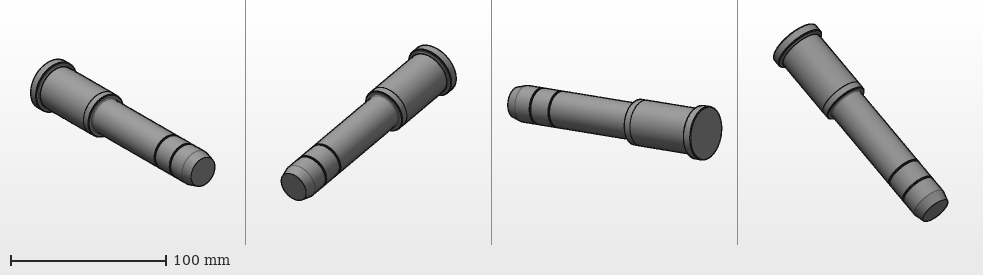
import cadquery as cq
import math


HEAD_RADIUS = 35.0 / 2
HEAD_LENGTH = 6.0
HEAD_CHAMFER = 0.5

RELIEF_LENGTH = 1.0
RELIEF_DEPTH = 0.4

SHOULDER_RADIUS = 30.0 / 2
SHOULDER_END = 55.0
SHOULDER_CHAMFER = 0.5
LEAD_IN_LENGTH = 5.0
LEAD_IN_CLEARANCE = 0.05

SHANK_RADIUS = 24.0 / 2
SHANK_ROOT_FILLET = 0.6
TOTAL_LENGTH = 151.0

TIP_LENGTH = 7.0
TIP_ANGLE = 15.0
TIP_RADIUS = SHANK_RADIUS - TIP_LENGTH * math.tan(math.radians(TIP_ANGLE))

GROOVE_WIDTH = 1.0
GROOVE_DEPTH = 0.4
GROOVE_SPACING = 15.0
FIRST_GROOVE_START = 116.5
GROOVE_COUNT = 2


def add_root_fillet(profile, face_x, floor_radius, fillet_radius):
    """Follow a face at face_x down to the fillet, then curve onto the floor."""
    centre_x = face_x + fillet_radius
    centre_r = floor_radius + fillet_radius
    midpoint_offset = fillet_radius * math.sqrt(0.5)
    return profile.lineTo(face_x, centre_r).threePointArc(
        (centre_x - midpoint_offset, centre_r - midpoint_offset),
        (centre_x, floor_radius),
    )


def make_body():
    """Revolve the stepped half profile, drawn as (axial position, radius)."""
    relief_end = HEAD_LENGTH + RELIEF_LENGTH
    lead_in_start = SHOULDER_END - LEAD_IN_LENGTH
    lead_in_radius = SHOULDER_RADIUS - LEAD_IN_CLEARANCE

    profile = (
        cq.Workplane("XZ")
        .lineTo(0, HEAD_RADIUS - HEAD_CHAMFER)
        .lineTo(HEAD_CHAMFER, HEAD_RADIUS)
        .lineTo(HEAD_LENGTH - HEAD_CHAMFER, HEAD_RADIUS)
        .lineTo(HEAD_LENGTH, HEAD_RADIUS - HEAD_CHAMFER)
    )
    profile = add_root_fillet(profile, HEAD_LENGTH, SHOULDER_RADIUS - RELIEF_DEPTH, RELIEF_LENGTH)
    profile = (
        profile
        .lineTo(relief_end, SHOULDER_RADIUS)
        .lineTo(lead_in_start, SHOULDER_RADIUS)
        .lineTo(lead_in_start, lead_in_radius)
        .lineTo(SHOULDER_END - SHOULDER_CHAMFER, lead_in_radius)
        .lineTo(SHOULDER_END, lead_in_radius - SHOULDER_CHAMFER)
    )
    profile = add_root_fillet(profile, SHOULDER_END, SHANK_RADIUS, SHANK_ROOT_FILLET)
    profile = (
        profile
        .lineTo(TOTAL_LENGTH - TIP_LENGTH, SHANK_RADIUS)
        .lineTo(TOTAL_LENGTH, TIP_RADIUS)
        .lineTo(TOTAL_LENGTH, 0)
        .close()
    )
    return profile.revolve(360, (0, 0, 0), (1, 0, 0))


def make_groove_ring(start_x):
    """Ring of material to remove for one groove starting at start_x."""
    return (
        cq.Workplane("YZ", origin=(start_x, 0, 0))
        .circle(HEAD_RADIUS)
        .circle(SHANK_RADIUS - GROOVE_DEPTH)
        .extrude(GROOVE_WIDTH)
    )


result = make_body()
for groove_index in range(GROOVE_COUNT):
    groove_start = FIRST_GROOVE_START + groove_index * GROOVE_SPACING
    result = result.cut(make_groove_ring(groove_start))